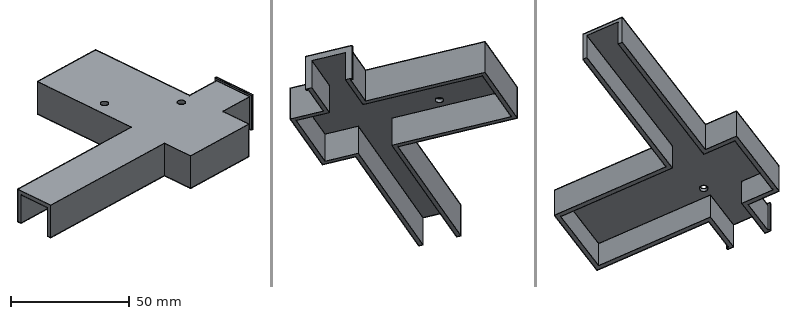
import cadquery as cq

length = 123.5
box_width = 89.0
box_depth = 36.0
box_front = 70.0
body_height = 16.0
wall = 2.0

channel_width = 19.3
channel_left = 54.6

flange_thickness = 1.0
flange_lip = 1.0

hole_diameter = 3.5
hole_places = [(33.0, 6.4), (56.0, 29.4)]

channel_center = channel_left + channel_width / 2


def block(left, front, width, depth, height):
    """Block standing on the XY plane with its front left corner at (left, front)."""
    return cq.Workplane("XY").box(width, depth, height, centered=False).translate((left, front, 0))


def channel_block(width, front, depth, height):
    """Block centred across the channel."""
    return block(channel_center - width / 2, front, width, depth, height)


box = block(0, box_front, box_width, box_depth, body_height)
channel = channel_block(channel_width, 0, length, body_height)
flange = channel_block(
    channel_width + 2 * flange_lip,
    length - flange_thickness,
    flange_thickness,
    body_height + flange_lip,
)
body = box.union(channel).union(flange)

inner_height = body_height - wall
box_cavity = block(wall, box_front + wall, box_width - 2 * wall, box_depth - 2 * wall, inner_height)
channel_cavity = channel_block(channel_width - 2 * wall, 0, length, inner_height)
body = body.cut(box_cavity).cut(channel_cavity)

holes = (
    cq.Workplane("XY", origin=(0, box_front, 0))
    .pushPoints(hole_places)
    .circle(hole_diameter / 2)
    .extrude(body_height)
)
result = body.cut(holes)